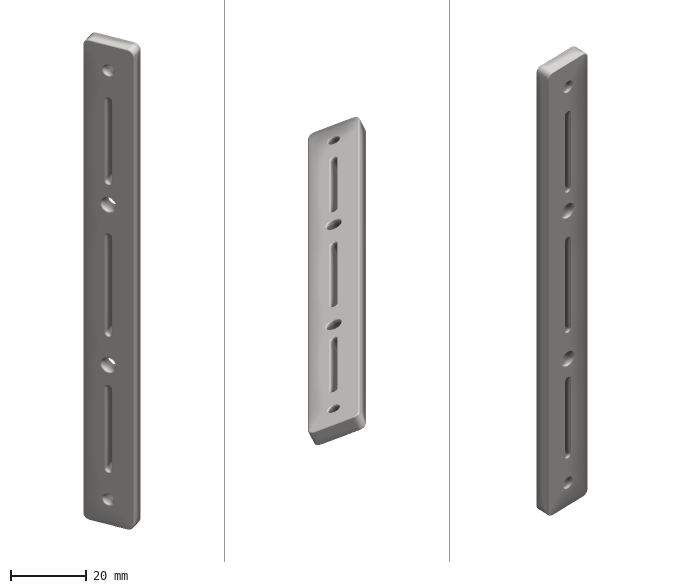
import cadquery as cq

length = 150.0
width = 15.0
thickness = 4.5
corner_radius = 2.0

edge_chamfer = 0.2

end_hole_diameter = 3.3
end_hole_offset = 67.0
inner_hole_diameter = 4.4
inner_hole_offset = 25.0

slot_width = 2.0
middle_slot_length = 32.0
outer_slot_length = 27.0
outer_slot_offset = 45.0


def hole_pair(diameter, offset):
    """Two cylinders across the bar, at equal distances above and below its middle."""
    return (
        cq.Workplane("XZ")
        .pushPoints([(0, offset), (0, -offset)])
        .circle(diameter / 2)
        .extrude(thickness, both=True)
    )


def upright_slots(slot_length, heights):
    """Round-ended slot cutters across the bar, centred at the given heights."""
    return (
        cq.Workplane("XZ")
        .pushPoints([(0, height) for height in heights])
        .slot2D(slot_length, slot_width, 90)
        .extrude(thickness, both=True)
    )


bar = cq.Workplane("XY").box(width, thickness, length).edges("|Y").fillet(corner_radius)

pierced_bar = (
    bar.cut(hole_pair(end_hole_diameter, end_hole_offset))
    .cut(hole_pair(inner_hole_diameter, inner_hole_offset))
    .cut(upright_slots(middle_slot_length, [0]))
    .cut(upright_slots(outer_slot_length, [outer_slot_offset, -outer_slot_offset]))
)

result = pierced_bar.faces("<Y or >Y").chamfer(edge_chamfer)